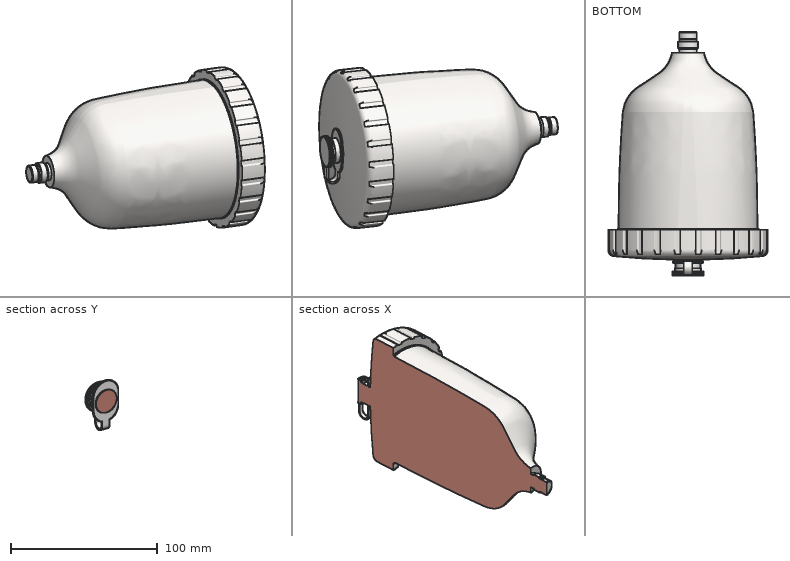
import cadquery as cq
import math


CAP_RADIUS = 54.25
CAP_CORNER_RADIUS = 4.2
CAP_SIDE_HEIGHT = 14.0
DOME_HEIGHT = 20.65
DOME_EDGE_ANGLE = 7.0
GRIP_COUNT = 24
GRIP_FLOOR_HALF_WIDTH = 1.25
GRIP_BLEND_RADIUS = 0.6
GRIP_DEPTH = 2 * GRIP_BLEND_RADIUS
COLLAR_RADIUS = 48.0
COLLAR_HEIGHT = 0.7

BODY_TOP = (0.0, 47.5)
SHOULDER_START = (-80.0, 44.5)
CONE_START = (-96.9, 34.3)
NECK_START = (-106.4, 20.0)
NECK_END = (-120.5, 11.0)
FLAT_HALF_WIDTH_TOP = 6.9
FLAT_HALF_WIDTH_END = 1.3
FLAT_OVERRUN = 1.0

SPIGOT_RADIUS = 6.0
SPIGOT_END = -134.6
SPIGOT_CHAMFER = 0.55
SPIGOT_COLLAR_RADIUS = 6.9
SPIGOT_COLLAR_RAMP_START = -122.6
SPIGOT_COLLAR_TOP = -123.8
SPIGOT_COLLAR_BOTTOM = -127.9
SPIGOT_GROOVE_TOP = -129.3
SPIGOT_GROOVE_WIDTH = 0.7
SPIGOT_GROOVE_DEPTH = 0.25

PLUG_TOP = 31.29
STEM_RADIUS = 8.6
STEM_LIP_RADIUS = 9.0
STEM_LIP_BOTTOM = 26.4
HEAD_RADIUS = 10.8
HEAD_HEIGHT = 2.9
HEAD_CHAMFER = 0.4
HEAD_GROOVE_TOP = 30.3
HEAD_GROOVE_BOTTOM = 29.5
HEAD_GROOVE_DEPTH = 0.4
STRAP_THICKNESS = 1.3
STRAP_WIDTH = 6.0
STRAP_LOW_MID = 22.1
STRAP_HIGH_MID = 30.05
STRAP_REACH = 22.6
EYE_HALF_WIDTH = 10.4
EYE_HALF_LENGTH = 15.4
EYE_EDGE_CHAMFER = 0.4


def revolve_about_y(outline):
    """Revolve a closed (axial, radial) outline drawn on the YZ plane about the Y axis."""
    return outline.close().revolve(360, (0, 0), (1, 0))


def arc_midpoint(start, end, start_direction):
    """Middle point of the arc that leaves start along start_direction and ends at end."""
    chord = (end[0] - start[0], end[1] - start[1])
    length = math.hypot(*chord)
    cross = start_direction[0] * chord[1] - start_direction[1] * chord[0]
    dot = start_direction[0] * chord[0] + start_direction[1] * chord[1]
    turn = math.atan2(cross, dot)
    bulge = length / 2 * math.tan(turn / 2)
    return (
        (start[0] + end[0]) / 2 + bulge * chord[1] / length,
        (start[1] + end[1]) / 2 - bulge * chord[0] / length,
    )


CONE_DIRECTION = (CONE_START[0] - NECK_START[0], CONE_START[1] - NECK_START[1])
TOWARD_NECK = (-CONE_DIRECTION[0], -CONE_DIRECTION[1])
TOWARD_SHOULDER = (-1, 0)
BODY_MIDDLE = arc_midpoint(BODY_TOP, SHOULDER_START, TOWARD_SHOULDER)
SHOULDER_MIDDLE = arc_midpoint(CONE_START, SHOULDER_START, CONE_DIRECTION)
NECK_MIDDLE = arc_midpoint(NECK_START, NECK_END, TOWARD_NECK)


def flat_point(point):
    """Move a point of the body outline inward to the chord of the tapering side flat."""
    axial, radius = point
    share = axial / NECK_END[0]
    half_width = FLAT_HALF_WIDTH_TOP + share * (FLAT_HALF_WIDTH_END - FLAT_HALF_WIDTH_TOP)
    return (axial, math.sqrt(radius**2 - half_width**2))


def trace_body(sketch, adjust):
    """Continue a sketch along the cup wall to the end of the neck, each point passed through adjust."""
    return (
        sketch
        .lineTo(*adjust(BODY_TOP))
        .threePointArc(adjust(BODY_MIDDLE), adjust(SHOULDER_START))
        .threePointArc(adjust(SHOULDER_MIDDLE), adjust(CONE_START))
        .lineTo(*adjust(NECK_START))
        .threePointArc(adjust(NECK_MIDDLE), adjust(NECK_END))
    )


def make_body():
    """Revolved cup with a narrowing flat along its +Z and -Z sides."""
    start = cq.Workplane("YZ").moveTo(BODY_TOP[0], 0)
    body = revolve_about_y(trace_body(start, lambda point: point).lineTo(NECK_END[0], 0))
    outside = BODY_TOP[1] + FLAT_OVERRUN
    cutter_top = BODY_TOP[0] + FLAT_OVERRUN
    cutter_end = NECK_END[0] - FLAT_OVERRUN
    flat_start = (
        cq.Workplane("YZ")
        .moveTo(cutter_top, outside)
        .lineTo(cutter_top, flat_point(BODY_TOP)[1])
    )
    flat_cutter = (
        trace_body(flat_start, flat_point)
        .lineTo(cutter_end, flat_point(NECK_END)[1])
        .lineTo(cutter_end, outside)
        .close()
        .extrude(FLAT_HALF_WIDTH_TOP + FLAT_OVERRUN, both=True)
    )
    return body.cut(flat_cutter).cut(flat_cutter.mirror("XY"))


def make_collar():
    """Thin ring showing under the cap, reaching up into it."""
    outline = cq.Workplane("XZ", origin=(0, -COLLAR_HEIGHT, 0)).circle(COLLAR_RADIUS)
    return outline.extrude(-(COLLAR_HEIGHT + CAP_SIDE_HEIGHT))


def grip_groove():
    """Axial grip groove at +Z, cut through the full height of the cap's side."""
    lip_half_width = GRIP_FLOOR_HALF_WIDTH + 2 * GRIP_BLEND_RADIUS
    wall_half_width = GRIP_FLOOR_HALF_WIDTH + GRIP_BLEND_RADIUS
    floor = CAP_RADIUS - GRIP_DEPTH
    wall = floor + GRIP_BLEND_RADIUS
    lip = math.sqrt(CAP_RADIUS**2 - lip_half_width**2)
    outside = CAP_RADIUS + GRIP_DEPTH
    quarter = GRIP_BLEND_RADIUS * math.sqrt(0.5)
    lip_middle = (lip_half_width - quarter, wall + quarter)
    root_middle = (GRIP_FLOOR_HALF_WIDTH + quarter, wall - quarter)
    return (
        cq.Workplane("XZ")
        .moveTo(-lip_half_width, outside)
        .lineTo(-lip_half_width, lip)
        .threePointArc((-lip_middle[0], lip_middle[1]), (-wall_half_width, wall))
        .threePointArc((-root_middle[0], root_middle[1]), (-GRIP_FLOOR_HALF_WIDTH, floor))
        .lineTo(GRIP_FLOOR_HALF_WIDTH, floor)
        .threePointArc(root_middle, (wall_half_width, wall))
        .threePointArc(lip_middle, (lip_half_width, lip))
        .lineTo(lip_half_width, outside)
        .close()
        .extrude(-DOME_HEIGHT)
    )


def make_cap():
    """Domed screw cap with a rounded upper corner and evenly spaced grip grooves."""
    corner_centre = (CAP_SIDE_HEIGHT, CAP_RADIUS - CAP_CORNER_RADIUS)

    def corner_point(angle):
        return (
            corner_centre[0] + CAP_CORNER_RADIUS * math.sin(math.radians(angle)),
            corner_centre[1] + CAP_CORNER_RADIUS * math.cos(math.radians(angle)),
        )

    corner_end_angle = 90 - DOME_EDGE_ANGLE
    dome_edge = corner_point(corner_end_angle)
    dome_middle = arc_midpoint((DOME_HEIGHT, 0), dome_edge, (0, 1))
    cap = revolve_about_y(
        cq.Workplane("YZ")
        .moveTo(0, 0)
        .lineTo(0, CAP_RADIUS)
        .lineTo(CAP_SIDE_HEIGHT, CAP_RADIUS)
        .threePointArc(corner_point(corner_end_angle / 2), dome_edge)
        .threePointArc(dome_middle, (DOME_HEIGHT, 0))
    )
    pitch = 360 / GRIP_COUNT
    groove = grip_groove()
    for index in range(GRIP_COUNT):
        cap = cap.cut(groove.rotate((0, 0, 0), (0, 1, 0), (index + 0.5) * pitch))
    return cap


def make_spigot():
    """Stepped outlet with a ramped collar, a shallow groove and a chamfered end."""
    groove_radius = SPIGOT_RADIUS - SPIGOT_GROOVE_DEPTH
    groove_bottom = SPIGOT_GROOVE_TOP - SPIGOT_GROOVE_WIDTH
    return revolve_about_y(
        cq.Workplane("YZ")
        .moveTo(NECK_START[0], 0)
        .lineTo(NECK_START[0], SPIGOT_RADIUS)
        .lineTo(SPIGOT_COLLAR_RAMP_START, SPIGOT_RADIUS)
        .lineTo(SPIGOT_COLLAR_TOP, SPIGOT_COLLAR_RADIUS)
        .lineTo(SPIGOT_COLLAR_BOTTOM, SPIGOT_COLLAR_RADIUS)
        .lineTo(SPIGOT_COLLAR_BOTTOM, SPIGOT_RADIUS)
        .lineTo(SPIGOT_GROOVE_TOP, SPIGOT_RADIUS)
        .lineTo(SPIGOT_GROOVE_TOP, groove_radius)
        .lineTo(groove_bottom, groove_radius)
        .lineTo(groove_bottom, SPIGOT_RADIUS)
        .lineTo(SPIGOT_END + SPIGOT_CHAMFER, SPIGOT_RADIUS)
        .lineTo(SPIGOT_END, SPIGOT_RADIUS - SPIGOT_CHAMFER)
        .lineTo(SPIGOT_END, 0)
    )


def make_plug():
    """Stem with a lip, carrying a chamfered head that has a groove around its rim."""
    head_bottom = PLUG_TOP - HEAD_HEIGHT
    groove_radius = HEAD_RADIUS - HEAD_GROOVE_DEPTH
    face_radius = HEAD_RADIUS - HEAD_CHAMFER
    return revolve_about_y(
        cq.Workplane("YZ")
        .moveTo(CAP_SIDE_HEIGHT, 0)
        .lineTo(CAP_SIDE_HEIGHT, STEM_RADIUS)
        .lineTo(STEM_LIP_BOTTOM, STEM_RADIUS)
        .lineTo(STEM_LIP_BOTTOM, STEM_LIP_RADIUS)
        .lineTo(head_bottom, STEM_LIP_RADIUS)
        .lineTo(head_bottom, face_radius)
        .lineTo(head_bottom + HEAD_CHAMFER, HEAD_RADIUS)
        .lineTo(HEAD_GROOVE_BOTTOM, HEAD_RADIUS)
        .lineTo(HEAD_GROOVE_BOTTOM, groove_radius)
        .lineTo(HEAD_GROOVE_TOP, groove_radius)
        .lineTo(HEAD_GROOVE_TOP, HEAD_RADIUS)
        .lineTo(PLUG_TOP - HEAD_CHAMFER, HEAD_RADIUS)
        .lineTo(PLUG_TOP, face_radius)
        .lineTo(PLUG_TOP, 0)
    )


def make_strap():
    """Oblong eye around the stem and a U-shaped band from it to the plug head."""
    eye = (
        cq.Workplane("XZ", origin=(0, STRAP_LOW_MID - STRAP_THICKNESS / 2, 0))
        .slot2D(2 * EYE_HALF_LENGTH, 2 * EYE_HALF_WIDTH, 90)
        .extrude(-STRAP_THICKNESS)
        .faces("<Y or >Y")
        .edges()
        .chamfer(EYE_EDGE_CHAMFER)
    )
    bend_radius = (STRAP_HIGH_MID - STRAP_LOW_MID) / 2
    bend_bottom = -STRAP_REACH + STRAP_THICKNESS / 2
    bend_start = bend_bottom + bend_radius
    path = (
        cq.Workplane("YZ")
        .moveTo(STRAP_LOW_MID, 0)
        .lineTo(STRAP_LOW_MID, bend_start)
        .threePointArc((STRAP_LOW_MID + bend_radius, bend_bottom), (STRAP_HIGH_MID, bend_start))
        .lineTo(STRAP_HIGH_MID, 0)
    )
    section = cq.Workplane("XY", origin=(0, STRAP_LOW_MID, 0)).rect(STRAP_WIDTH, STRAP_THICKNESS)
    return eye.union(section.sweep(path))


result = (
    make_cap()
    .union(make_collar())
    .union(make_body())
    .union(make_spigot())
    .union(make_plug())
    .union(make_strap())
)